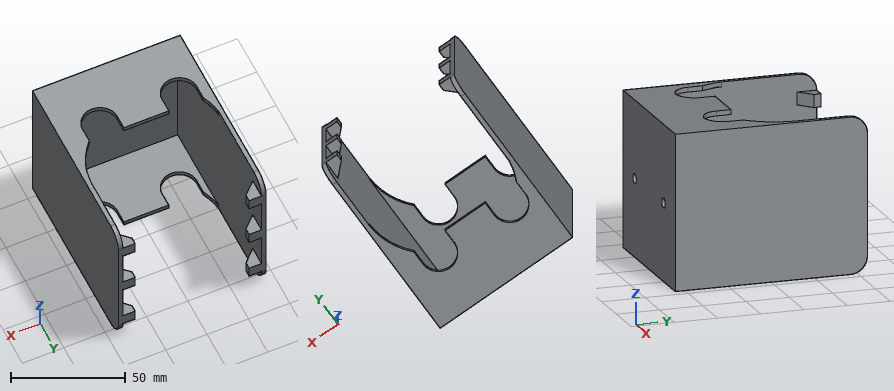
import cadquery as cq

width = 71.5
depth = 89.0
height = 72.0

wall = 2.2
plate_thickness = 2.2
side_corner_radius = 8.0
inner_x = width / 2 - wall

plate_edge_y = 35.15
slot_radius = 8.4
slot_center_y = 28.4
left_slot_x = -22.2
right_slot_x = 16.3
left_arc_start_y = 44.95
left_arc_middle = (-32.5, 40.1)
right_arc_start_y = 56.5
right_arc_middle = (30.2, 43.1)

hole_diameter = 4.5
hole_spacing = 39.4

clip_height = 6.0
clip_reach = 6.0
clip_tip_length = 3.3
clip_base_length = 9.1
clip_pitch = height / 2 - side_corner_radius - clip_height / 2


def make_shell():
    """Box open at the rear, with the rear corners of its side walls rounded."""
    outer = cq.Workplane("XY").box(width, depth, height, centered=(True, False, True))
    outer = outer.edges("|X and >Y").fillet(side_corner_radius)
    cavity = (
        cq.Workplane("XY")
        .box(2 * inner_x, depth, height - 2 * plate_thickness, centered=(True, False, True))
        .translate((0, wall, 0))
    )
    return outer.cut(cavity)


def make_plate_opening():
    """Cutter through both plates: two round-ended slots and curved shoulders."""
    slot_end_y = slot_center_y - slot_radius
    return (
        cq.Workplane("XY")
        .workplane(offset=-height / 2)
        .moveTo(-inner_x, depth)
        .lineTo(-inner_x, left_arc_start_y)
        .threePointArc(left_arc_middle, (left_slot_x - slot_radius, plate_edge_y))
        .lineTo(left_slot_x - slot_radius, slot_center_y)
        .threePointArc((left_slot_x, slot_end_y), (left_slot_x + slot_radius, slot_center_y))
        .lineTo(left_slot_x + slot_radius, plate_edge_y)
        .lineTo(right_slot_x - slot_radius, plate_edge_y)
        .lineTo(right_slot_x - slot_radius, slot_center_y)
        .threePointArc((right_slot_x, slot_end_y), (right_slot_x + slot_radius, slot_center_y))
        .lineTo(right_slot_x + slot_radius, plate_edge_y)
        .threePointArc(right_arc_middle, (inner_x, right_arc_start_y))
        .lineTo(inner_x, depth)
        .close()
        .extrude(height)
    )


def make_mounting_holes():
    """Pair of cylinders through the front wall."""
    return (
        cq.Workplane("XZ")
        .pushPoints([(-hole_spacing / 2, 0), (hole_spacing / 2, 0)])
        .circle(hole_diameter / 2)
        .extrude(-wall)
    )


def make_clip(side, center_z):
    """Clip with a sloped front face; side is -1 for the left wall, 1 for the right."""
    root_x = side * (inner_x + wall / 2)
    wall_x = side * inner_x
    tip_x = side * (inner_x - clip_reach)
    outline = [
        (root_x, depth),
        (tip_x, depth),
        (tip_x, depth - clip_tip_length),
        (wall_x, depth - clip_base_length),
        (root_x, depth - clip_base_length),
    ]
    return (
        cq.Workplane("XY")
        .workplane(offset=center_z - clip_height / 2)
        .polyline(outline)
        .close()
        .extrude(clip_height)
    )


result = make_shell().cut(make_plate_opening()).cut(make_mounting_holes())
for side in (-1, 1):
    for row in (-1, 0, 1):
        result = result.union(make_clip(side, row * clip_pitch))